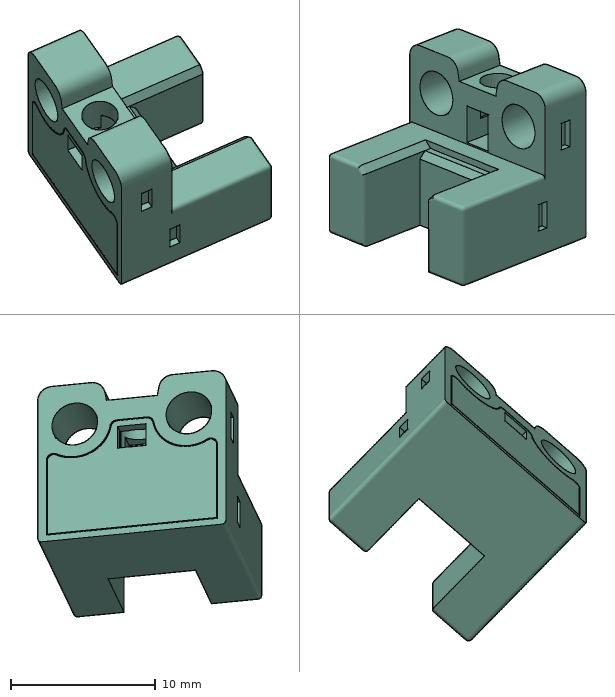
import cadquery as cq
import math

width = 13.35
depth = 12.0
height = 12.0
body_height = 6.0
plate_thickness = 3.99
body_edge_radius = 0.3

notch_half_width = 1.8
notch_depth = 1.5
notch_floor = height - notch_depth
notch_wall_angle = 10.0
ear_radius = 1.0

hole_spacing = 8.09
hole_diameter = 3.23
hole_height = 8.9

slot_half_width = 3.1
slot_bevel = 0.5
slot_top_end = 5.5
ledge_width = 0.53

panel_half_width = 6.06
panel_bottom = 0.51
panel_arc_radius = 2.54
panel_corner_radius = 0.5
groove_width = 0.05
groove_depth = 0.1

window_width = 2.0
window_bottom = 6.72
window_height = 1.67
window_top = window_bottom + window_height
window_depth = 0.8
chamber_width = 2.11
chamber_drop = 0.6
chamber_rise = 0.5
chamber_bottom = window_bottom - chamber_drop
chamber_top = window_top + chamber_rise
shaft_diameter = 2.51
shaft_bottom = 7.53
shaft_y = plate_thickness / 2

pocket_width = 0.8
pocket_height = 2.0
pocket_depth = 0.5
pocket_places = [(shaft_y, 7.46), (4.22, 2.0)]


def box(x_min, x_max, y_min, y_max, z_min, z_max):
    """Box given by its limits along each axis."""
    size = (x_max - x_min, y_max - y_min, z_max - z_min)
    return cq.Workplane("XY").box(*size, centered=False).translate((x_min, y_min, z_min))


def front_sketch():
    """Sketch plane on the front face; positive extrusion runs towards -Y."""
    return cq.Workplane("XZ")


def slot_cutter():
    """Open slot between the arms, with bevelled rims and a ledge at its closed end."""
    ledge_height = body_height - slot_bevel
    ledge_end = slot_top_end + ledge_width
    rim_half_width = slot_half_width + slot_bevel
    upper = (
        front_sketch()
        .polyline([
            (-slot_half_width, ledge_height),
            (slot_half_width, ledge_height),
            (rim_half_width, body_height),
            (-rim_half_width, body_height),
        ])
        .close()
        .extrude(-(depth - slot_top_end))
        .translate((0, slot_top_end, 0))
    )
    lower = (
        cq.Workplane("YZ")
        .polyline([
            (ledge_end, ledge_height),
            (ledge_end + slot_bevel, ledge_height - slot_bevel),
            (ledge_end + slot_bevel, 0),
            (depth, 0),
            (depth, ledge_height),
        ])
        .close()
        .extrude(slot_half_width, both=True)
    )
    return upper.union(lower)


def make_body():
    """Lower block with its two arms and rounded outer edges."""
    body = box(-width / 2, width / 2, 0, depth, 0, body_height)
    body = body.edges("|Y").fillet(body_edge_radius)
    body = body.cut(slot_cutter())
    return body.faces(">Y").edges().fillet(body_edge_radius)


def make_plate():
    """Front plate with two rounded ears either side of a flared notch."""
    flare = notch_depth * math.tan(math.radians(notch_wall_angle))
    notch_top = notch_half_width + flare
    plate = box(-width / 2, width / 2, 0, plate_thickness, 0, height)
    plate = plate.edges("|Y and <Z").fillet(body_edge_radius)
    notch = (
        front_sketch()
        .polyline([
            (-notch_half_width, notch_floor),
            (notch_half_width, notch_floor),
            (notch_top, height),
            (-notch_top, height),
        ])
        .close()
        .extrude(-plate_thickness)
    )
    return plate.cut(notch).faces(">Z").edges("|Y").fillet(ear_radius)


def hole_cylinders(radius, length):
    """A pair of cylinders on the mounting hole axes, starting at the front face."""
    return (
        front_sketch()
        .pushPoints([(-hole_spacing / 2, hole_height), (hole_spacing / 2, hole_height)])
        .circle(radius)
        .extrude(-length)
    )


def make_panel(inset):
    """Label panel shrunk by an inset; its upper outline sweeps round both mounting holes."""
    half_width = panel_half_width - inset
    panel = box(-half_width, half_width, 0, groove_depth, panel_bottom + inset, hole_height - inset)
    panel = panel.cut(hole_cylinders(panel_arc_radius + inset, groove_depth))
    return panel.edges("|Y").edges("not <Z").fillet(panel_corner_radius - inset)


result = make_body().union(make_plate())

result = result.cut(hole_cylinders(hole_diameter / 2, plate_thickness))
result = result.cut(make_panel(0).cut(make_panel(groove_width)))

window = box(-window_width / 2, window_width / 2, 0, window_depth, window_bottom, window_top)
chamber = box(
    -chamber_width / 2, chamber_width / 2, window_depth, plate_thickness, chamber_bottom, chamber_top
)
shaft = (
    cq.Workplane("XY", origin=(0, shaft_y, shaft_bottom))
    .circle(shaft_diameter / 2)
    .extrude(notch_floor - shaft_bottom)
)
result = result.cut(window).cut(chamber).cut(shaft)

for pocket_y, pocket_bottom in pocket_places:
    for x_min in (-width / 2, width / 2 - pocket_depth):
        result = result.cut(box(
            x_min, x_min + pocket_depth,
            pocket_y - pocket_width / 2, pocket_y + pocket_width / 2,
            pocket_bottom, pocket_bottom + pocket_height,
        ))